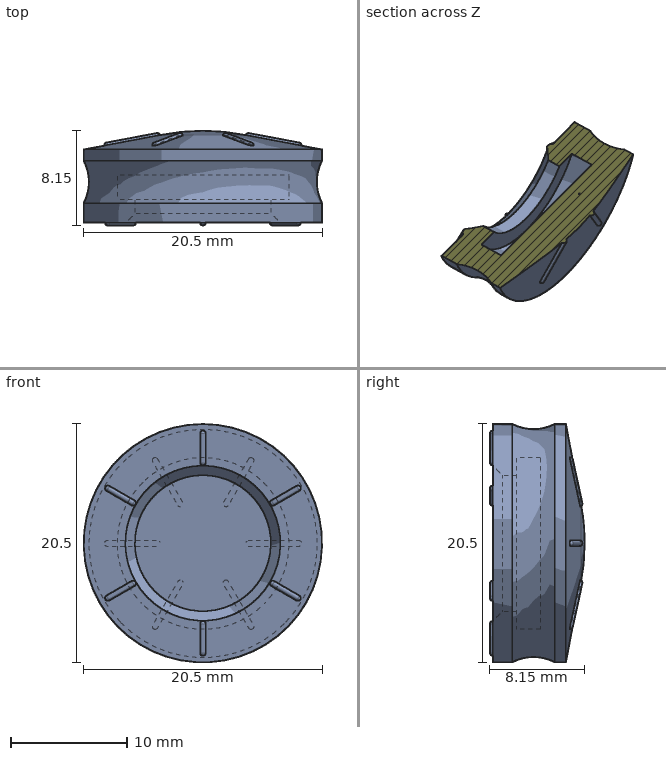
import cadquery as cq
import math

outer_radius = 20.5 / 2

rim_width = 6.3
front_land = 1.68
groove_end = 5.33
groove_middle = (front_land + groove_end) / 2
groove_arc_radius = 4.0
groove_half_width = (groove_end - front_land) / 2
groove_depth = groove_arc_radius - math.sqrt(groove_arc_radius**2 - groove_half_width**2)

rib_radius = 0.25
total_depth = 8.15
crown_top = total_depth - rib_radius
crown_edge_radius = 3.5
crown_edge = 7.56
cone_slope = (crown_edge - rim_width) / (outer_radius - crown_edge_radius)
crown_height = crown_top - crown_edge
crown_sphere_radius = (crown_edge_radius**2 + crown_height**2) / (2 * crown_height)

mouth_radius = 6.66
mouth_depth = 0.82
throat_radius = mouth_radius - mouth_depth
throat_end = 2.0
chamber_radius = 7.38
recess_depth = 4.1

rib_count = 6
rib_pitch = 360 / rib_count
front_rib_start = 6.93
front_rib_end = 9.43
front_rib_angle = rib_pitch / 2
back_rib_start = 3.92
back_rib_end = 8.25
back_rib_angle = 0
back_rib_sink = 0.02


def revolve_about_y(profile):
    """Turn a closed (radius, y) profile about the Y axis."""
    return profile.close().revolve(360, (0, 0, 0), (0, 1, 0))


def wheel_body():
    crown_mid_radius = crown_edge_radius / 2
    crown_mid = crown_top - crown_sphere_radius + math.sqrt(crown_sphere_radius**2 - crown_mid_radius**2)
    profile = (
        cq.Workplane("ZY")
        .lineTo(outer_radius, 0)
        .lineTo(outer_radius, front_land)
        .threePointArc((outer_radius - groove_depth, groove_middle), (outer_radius, groove_end))
        .lineTo(outer_radius, rim_width)
        .lineTo(crown_edge_radius, crown_edge)
        .threePointArc((crown_mid_radius, crown_mid), (0, crown_top))
    )
    return revolve_about_y(profile)


def front_recess():
    profile = (
        cq.Workplane("ZY")
        .lineTo(mouth_radius, 0)
        .lineTo(throat_radius, mouth_depth)
        .lineTo(throat_radius, throat_end)
        .lineTo(chamber_radius, throat_end)
        .lineTo(chamber_radius, recess_depth)
        .lineTo(0, recess_depth)
    )
    return revolve_about_y(profile)


def cone_height(radius):
    """Height y of the back cone at a given radius."""
    return rim_width + cone_slope * (outer_radius - radius)


def round_rib(start, end, angle):
    """Round bar with ball ends, centred on two (radius, y) points, turned about Y by an angle."""
    run = end[0] - start[0]
    rise = end[1] - start[1]
    length = math.hypot(run, rise)
    tilt = math.degrees(math.atan2(rise, run))
    diagonal = rib_radius * math.sqrt(0.5)
    bar = (
        cq.Workplane("XY")
        .moveTo(-rib_radius, 0)
        .threePointArc((-diagonal, diagonal), (0, rib_radius))
        .lineTo(length, rib_radius)
        .threePointArc((length + diagonal, diagonal), (length + rib_radius, 0))
        .close()
        .revolve(360, (0, 0, 0), (1, 0, 0))
    )
    bar = bar.rotate((0, 0, 0), (0, 0, 1), tilt).translate((start[0], start[1], 0))
    return bar.rotate((0, 0, 0), (0, 1, 0), angle)


front_start = (front_rib_start, 0)
front_end = (front_rib_end, 0)
back_start = (back_rib_start, cone_height(back_rib_start) - back_rib_sink)
back_end = (back_rib_end, cone_height(back_rib_end) - back_rib_sink)

body = wheel_body()
for index in range(rib_count):
    turn = index * rib_pitch
    body = body.union(round_rib(front_start, front_end, front_rib_angle + turn))
    body = body.union(round_rib(back_start, back_end, back_rib_angle + turn))

result = body.cut(front_recess())